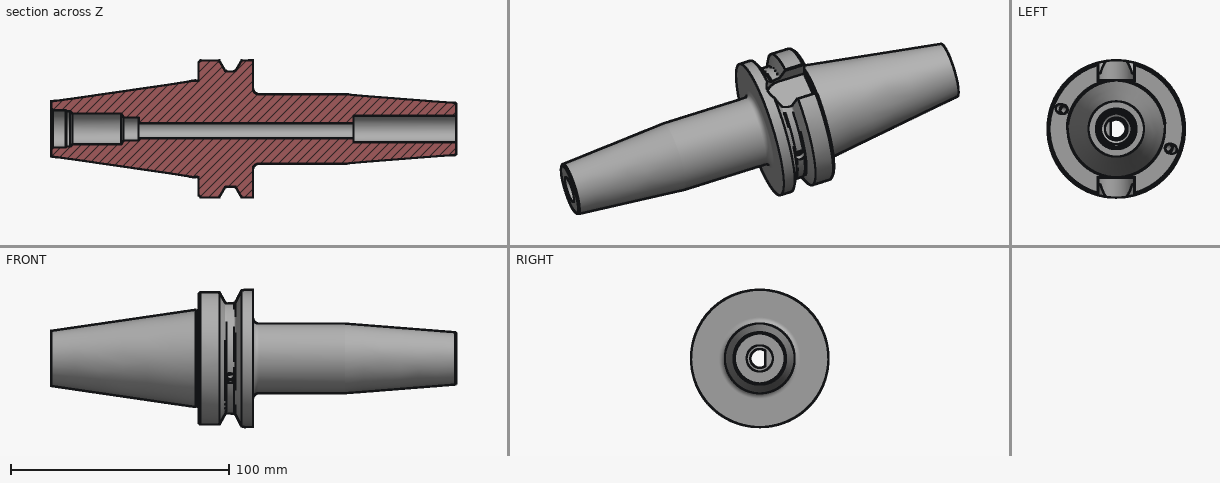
import cadquery as cq
import math


GAUGE_RADIUS = 22.225
TAPER_LENGTH = 65.4
TAPER_OVERRUN = 0.6
TAPER_SLOPE = 7 / 48
TAPER_BACK_X = -TAPER_LENGTH
TAPER_BACK_RADIUS = GAUGE_RADIUS - TAPER_LENGTH * TAPER_SLOPE
TAPER_FRONT_RADIUS = GAUGE_RADIUS + TAPER_OVERRUN * TAPER_SLOPE

FLANGE_RADIUS = 31.5
FLANGE_BACK_X = 2.0
FLANGE_FRONT_X = 27.0
FLANGE_CHAMFER = 1.0
NECK_RADIUS = 22.0
NECK_FILLET = 0.6
GROOVE_CENTER_X = 16.6
GROOVE_FLOOR_RADIUS = 26.5
GROOVE_FLOOR_HALF_WIDTH = 2.2
GROOVE_FLANK_ANGLE = 30.0
GROOVE_FILLET = 0.8
GROOVE_HALF_WIDTH = GROOVE_FLOOR_HALF_WIDTH + (
    FLANGE_RADIUS - GROOVE_FLOOR_RADIUS
) * math.tan(math.radians(GROOVE_FLANK_ANGLE))

NOSE_X = 120.0
SHANK_RADIUS = 16.0
SHANK_FILLET = 2.6
NOSE_RADIUS = 12.0
NOSE_HALF_ANGLE = 4.5
NOSE_CHAMFER = 0.6
NOSE_CONE_LENGTH = (SHANK_RADIUS - NOSE_RADIUS) / math.tan(math.radians(NOSE_HALF_ANGLE))

SLOT_WIDTH = 16.1
SLOT_FLOOR_Z = 22.5
SLOT_END_X = FLANGE_BACK_X + 21.2
SLOT_CHAMFER = 0.5

PILOT_RADIUS = 8.5
PILOT_DEPTH = 6.5
PILOT_MOUTH_RADIUS = 9.3
THREAD_MOUTH_RADIUS = 8.0
THREAD_MOUTH_DEPTH = 8.7
THREAD_RADIUS = 7.0
THREAD_DEPTH = 32.0
DRILL_TIP_ANGLE = 59.0
RELIEF_RADIUS = 5.2
RELIEF_DEPTH = 40.0
CHANNEL_RADIUS = 4.25
CHANNEL_FLAT_Y = 2.5
TOOL_BORE_RADIUS = 6.0
TOOL_BORE_DEPTH = 47.0

COOLANT_ANGLE = 20.0
COOLANT_FACE_RADIUS = 26.7
COOLANT_INCLINE = 35.0
COOLANT_RADIUS = 2.2
COOLANT_DEPTH = 2.0
PLUG_RADIUS = 2.4
PLUG_DEPTH = 3.5
FEED_RADIUS = 1.75


def revolve_about_x(outline):
    return outline.close().revolve(360, (0, 0, 0), (1, 0, 0))


def make_body():
    flank_angle = math.radians(GROOVE_FLANK_ANGLE)
    tangent = GROOVE_FILLET * math.tan((math.pi / 2 - flank_angle) / 2)
    floor_end = GROOVE_FLOOR_HALF_WIDTH - tangent
    flank_end = GROOVE_FLOOR_HALF_WIDTH + tangent * math.sin(flank_angle)
    flank_end_radius = GROOVE_FLOOR_RADIUS + tangent * math.cos(flank_angle)
    outline = (
        cq.Workplane("XZ")
        .moveTo(TAPER_BACK_X, 0)
        .lineTo(TAPER_BACK_X, TAPER_BACK_RADIUS)
        .lineTo(TAPER_OVERRUN, TAPER_FRONT_RADIUS)
        .lineTo(TAPER_OVERRUN, NECK_RADIUS)
        .lineTo(FLANGE_BACK_X - NECK_FILLET, NECK_RADIUS)
        .radiusArc((FLANGE_BACK_X, NECK_RADIUS + NECK_FILLET), -NECK_FILLET)
        .lineTo(FLANGE_BACK_X, FLANGE_RADIUS - FLANGE_CHAMFER)
        .lineTo(FLANGE_BACK_X + FLANGE_CHAMFER, FLANGE_RADIUS)
        .lineTo(GROOVE_CENTER_X - GROOVE_HALF_WIDTH, FLANGE_RADIUS)
        .lineTo(GROOVE_CENTER_X - flank_end, flank_end_radius)
        .radiusArc((GROOVE_CENTER_X - floor_end, GROOVE_FLOOR_RADIUS), -GROOVE_FILLET)
        .lineTo(GROOVE_CENTER_X + floor_end, GROOVE_FLOOR_RADIUS)
        .radiusArc((GROOVE_CENTER_X + flank_end, flank_end_radius), -GROOVE_FILLET)
        .lineTo(GROOVE_CENTER_X + GROOVE_HALF_WIDTH, FLANGE_RADIUS)
        .lineTo(FLANGE_FRONT_X, FLANGE_RADIUS)
        .lineTo(FLANGE_FRONT_X, SHANK_RADIUS + SHANK_FILLET)
        .radiusArc((FLANGE_FRONT_X + SHANK_FILLET, SHANK_RADIUS), -SHANK_FILLET)
        .lineTo(NOSE_X - NOSE_CONE_LENGTH, SHANK_RADIUS)
        .lineTo(NOSE_X, NOSE_RADIUS)
        .lineTo(NOSE_X, 0)
    )
    body = revolve_about_x(outline)
    return body.faces(">X").chamfer(NOSE_CHAMFER)


def make_bore():
    """Drawbar pilot and thread, narrow channel with one flat side, and tool bore in the nose."""
    mouth_chamfer = PILOT_MOUTH_RADIUS - PILOT_RADIUS
    pilot_step = PILOT_RADIUS - THREAD_MOUTH_RADIUS
    thread_lead = THREAD_MOUTH_RADIUS - THREAD_RADIUS
    drill_tip = (THREAD_RADIUS - RELIEF_RADIUS) / math.tan(math.radians(DRILL_TIP_ANGLE))
    pilot_end_x = TAPER_BACK_X + PILOT_DEPTH
    thread_mouth_x = TAPER_BACK_X + THREAD_MOUTH_DEPTH
    thread_end_x = TAPER_BACK_X + THREAD_DEPTH
    relief_end_x = TAPER_BACK_X + RELIEF_DEPTH
    tool_bore_x = NOSE_X - TOOL_BORE_DEPTH
    outline = (
        cq.Workplane("XZ")
        .moveTo(TAPER_BACK_X, 0)
        .lineTo(TAPER_BACK_X, PILOT_MOUTH_RADIUS)
        .lineTo(TAPER_BACK_X + mouth_chamfer, PILOT_RADIUS)
        .lineTo(pilot_end_x, PILOT_RADIUS)
        .lineTo(pilot_end_x + pilot_step, THREAD_MOUTH_RADIUS)
        .lineTo(thread_mouth_x, THREAD_MOUTH_RADIUS)
        .lineTo(thread_mouth_x + thread_lead, THREAD_RADIUS)
        .lineTo(thread_end_x, THREAD_RADIUS)
        .lineTo(thread_end_x + drill_tip, RELIEF_RADIUS)
        .lineTo(relief_end_x, RELIEF_RADIUS)
        .lineTo(relief_end_x, 0)
    )
    channel = (
        cq.Workplane("YZ", origin=(relief_end_x, 0, 0))
        .circle(CHANNEL_RADIUS)
        .extrude(tool_bore_x - relief_end_x)
    )
    flat_size = 2 * CHANNEL_RADIUS
    beyond_flat = (
        cq.Workplane("YZ", origin=(relief_end_x, CHANNEL_FLAT_Y + flat_size / 2, 0))
        .rect(flat_size, flat_size)
        .extrude(tool_bore_x - relief_end_x)
    )
    tool_bore = (
        cq.Workplane("YZ", origin=(tool_bore_x, 0, 0))
        .circle(TOOL_BORE_RADIUS)
        .extrude(TOOL_BORE_DEPTH)
    )
    return revolve_about_x(outline).union(channel.cut(beyond_flat)).union(tool_bore)


def make_drive_slot():
    half_width = SLOT_WIDTH / 2
    arc_x = SLOT_END_X - half_width
    slot = (
        cq.Workplane("XY", origin=(0, 0, SLOT_FLOOR_Z))
        .moveTo(0, -half_width)
        .lineTo(arc_x, -half_width)
        .threePointArc((SLOT_END_X, 0), (arc_x, half_width))
        .lineTo(0, half_width)
        .close()
        .extrude(FLANGE_RADIUS)
    )
    return slot.union(make_slot_mouth()).union(make_slot_rim_chamfer())


def make_slot_mouth():
    """Flared mouth that bevels the floor and both walls where the slot enters the flange."""
    wide = SLOT_WIDTH + 2 * SLOT_CHAMFER
    height = FLANGE_RADIUS
    deep_height = height + SLOT_CHAMFER
    top = SLOT_FLOOR_Z + height
    return (
        cq.Workplane("YZ", origin=(FLANGE_BACK_X, 0, 0))
        .center(0, top - deep_height / 2)
        .rect(wide, deep_height)
        .workplane(offset=SLOT_CHAMFER)
        .center(0, SLOT_CHAMFER / 2)
        .rect(SLOT_WIDTH, height)
        .loft(ruled=True)
    )


def make_slot_rim_chamfer():
    """Prism that bevels the slot walls along the outer rim of the back collar."""
    half_width = SLOT_WIDTH / 2
    rim_z = math.sqrt(FLANGE_RADIUS**2 - half_width**2)
    bevel_z = rim_z - SLOT_CHAMFER
    top = FLANGE_RADIUS + SLOT_CHAMFER
    flare = half_width + top - bevel_z
    return (
        cq.Workplane("YZ", origin=(FLANGE_BACK_X, 0, 0))
        .polyline([(-half_width, bevel_z), (half_width, bevel_z), (flare, top), (-flare, top)])
        .close()
        .extrude(GROOVE_CENTER_X - GROOVE_FLOOR_HALF_WIDTH - FLANGE_BACK_X)
    )


def drill(start, direction, radius, depth):
    return cq.Workplane(
        cq.Solid.makeCylinder(radius, depth, cq.Vector(*start), cq.Vector(*direction))
    )


def make_coolant_passage():
    """Inclined hole from the back face and radial hole from the groove; narrow feeds join them."""
    incline = math.radians(COOLANT_INCLINE)
    slope = math.tan(incline)
    lead = COOLANT_RADIUS * slope
    start = (FLANGE_BACK_X - lead, COOLANT_FACE_RADIUS + lead * slope, 0)
    inward = (1, -slope, 0)
    lead_length = lead / math.cos(incline)
    meeting_length = (GROOVE_CENTER_X - FLANGE_BACK_X + lead) / math.cos(incline)
    meeting_radius = COOLANT_FACE_RADIUS - (GROOVE_CENTER_X - FLANGE_BACK_X) * slope
    rim = (GROOVE_CENTER_X, FLANGE_RADIUS, 0)
    radial = (0, -1, 0)
    plug_length = FLANGE_RADIUS - GROOVE_FLOOR_RADIUS + PLUG_DEPTH
    holes = (
        drill(start, inward, COOLANT_RADIUS, lead_length + COOLANT_DEPTH)
        .union(drill(start, inward, FEED_RADIUS, meeting_length))
        .union(drill(rim, radial, PLUG_RADIUS, plug_length))
        .union(drill(rim, radial, FEED_RADIUS, FLANGE_RADIUS - meeting_radius))
    )
    return holes.rotate((0, 0, 0), (1, 0, 0), COOLANT_ANGLE)


result = make_body().cut(make_bore())
for turn in (0, 180):
    result = result.cut(make_drive_slot().rotate((0, 0, 0), (1, 0, 0), turn))
    result = result.cut(make_coolant_passage().rotate((0, 0, 0), (1, 0, 0), turn))